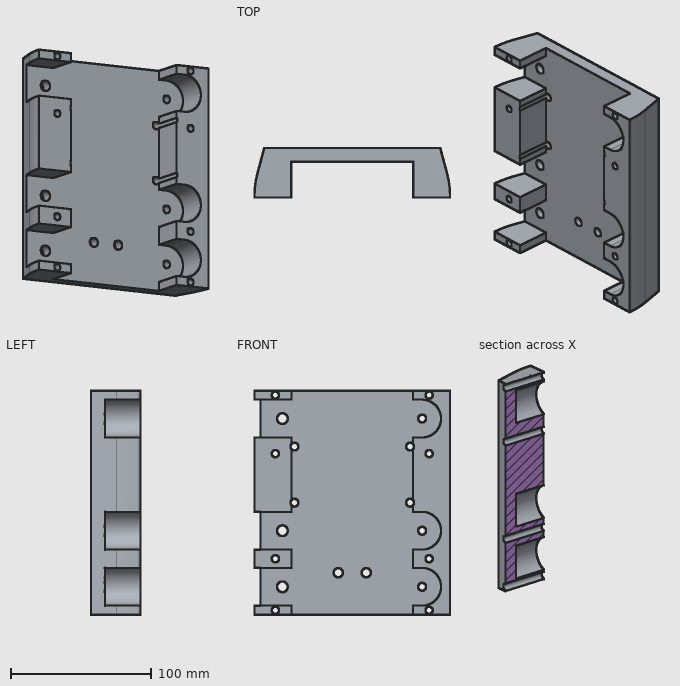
import cadquery as cq
import math

width = 139.7
depth = 35.5
height = 160.0

draft_angle = math.radians(15)
flank_radius = 61.5
land_depth = 1.2

floor_thickness = 10.0
rail_depth = depth - floor_thickness
channel_width = 87.0

slot_diameter = 27.0
slot_heights = (20.0, 60.0, 140.0)
slot_end_inset = 20.0
slot_end_x = width / 2 - slot_end_inset

slot_access_diameter = 7.5
slot_bolt_diameter = 5.5
rail_hole_diameter = 5.0
rail_hole_inset = 15.0
rail_hole_x = width / 2 - rail_hole_inset
rail_hole_edge = (slot_heights[0] - slot_diameter / 2) / 2
slot_gap_middle = (slot_heights[0] + slot_heights[1]) / 2
rail_pad_hole_height = 115.0
rail_hole_heights = (rail_hole_edge, slot_gap_middle, rail_pad_hole_height, height - rail_hole_edge)
corner_hole_diameter = 5.5
corner_hole_x = 41.25
corner_hole_heights = (80.0, 120.0)
floor_hole_diameter = 6.5
floor_hole_x = 10.0
floor_hole_height = 30.0


def make_body():
    """Solid block with curved flanks, extruded over the full height."""
    half_width = width / 2
    land_y = -(depth - land_depth)
    arc_top_y = land_y + flank_radius * math.sin(draft_angle)
    arc_top_x = half_width - flank_radius * (1 - math.cos(draft_angle))
    back_x = arc_top_x + arc_top_y * math.tan(draft_angle)
    mid_angle = draft_angle / 2
    arc_mid_x = half_width - flank_radius * (1 - math.cos(mid_angle))
    arc_mid_y = land_y + flank_radius * math.sin(mid_angle)
    return (
        cq.Workplane("XY")
        .moveTo(-back_x, 0)
        .lineTo(back_x, 0)
        .lineTo(arc_top_x, arc_top_y)
        .threePointArc((arc_mid_x, arc_mid_y), (half_width, land_y))
        .lineTo(half_width, -depth)
        .lineTo(-half_width, -depth)
        .lineTo(-half_width, land_y)
        .threePointArc((-arc_mid_x, arc_mid_y), (-arc_top_x, arc_top_y))
        .close()
        .extrude(height)
    )


def make_channel():
    """Cutter for the channel that leaves the floor and two rails."""
    return (
        cq.Workplane("XY")
        .box(channel_width, rail_depth, height, centered=(True, False, False))
        .translate((0, -depth, 0))
    )


def make_slot(z):
    """Cutter for one slot: straight from the -X side, round at the +X end."""
    radius = slot_diameter / 2
    return (
        cq.Workplane("XZ", origin=(0, -floor_thickness, 0))
        .moveTo(-width / 2, z - radius)
        .lineTo(slot_end_x, z - radius)
        .threePointArc((slot_end_x + radius, z), (slot_end_x, z + radius))
        .lineTo(-width / 2, z + radius)
        .close()
        .extrude(rail_depth)
    )


def make_holes(points, diameter):
    """Cutter for through holes at the given (x, z) points."""
    return cq.Workplane("XZ").pushPoints(points).circle(diameter / 2).extrude(depth)


def mirrored_points(x, heights):
    """Points at -x and +x for every height."""
    return [(side * x, z) for side in (-1, 1) for z in heights]


result = make_body().cut(make_channel())
for slot_height in slot_heights:
    result = result.cut(make_slot(slot_height))

hole_groups = (
    ([(-slot_end_x, z) for z in slot_heights], slot_access_diameter),
    ([(slot_end_x, z) for z in slot_heights], slot_bolt_diameter),
    (mirrored_points(rail_hole_x, rail_hole_heights), rail_hole_diameter),
    (mirrored_points(corner_hole_x, corner_hole_heights), corner_hole_diameter),
    (mirrored_points(floor_hole_x, (floor_hole_height,)), floor_hole_diameter),
)
for hole_points, hole_diameter in hole_groups:
    result = result.cut(make_holes(hole_points, hole_diameter))